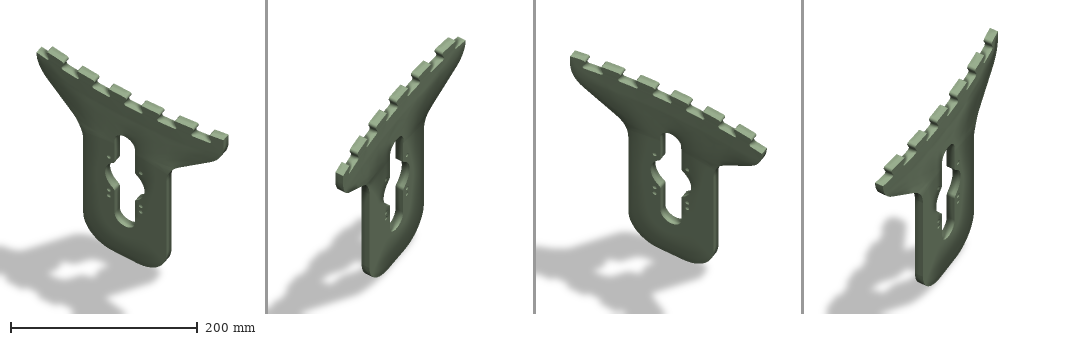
import cadquery as cq
import math

width = 241.3
height = 260.4
depth = 19.8
thickness = 10.0
cutter_length = 3 * depth
tolerance = 0.3

stem_width = 107.3
corner_radius = 38.0
fold_z = 177.8
shoulder_slope = 0.75
crease_z = fold_z + shoulder_slope * (width - stem_width) / 2

head_setback = 0.8
head_rise = depth - thickness - head_setback
fold_radius = 83.3
crease_band = 1.0
sheet_margin = 1.2

tooth_pitch = 42.0
tooth_height = 12.8
tooth_radius = 2.5
flank_angle = 25.0
tooth_lean = tooth_height / 2 * math.tan(math.radians(flank_angle))
first_tooth_x = -94.2
tooth_count = 6
tooth_root_z = height - tooth_height

opening_z = 123.7
slot_length = 146.3
slot_width = 26.0
bore_diameter = 51.0
bore_corner_radius = 5.0
hole_diameter = 5.0
hole_x = 20.5
hole_offset = 27.0
extra_hole_offset = 36.5
hole_heights = [opening_z - extra_hole_offset, opening_z - hole_offset, opening_z + hole_offset]


def front_plane(z=0):
    """Upright workplane behind the part; extruding cutter_length from it passes all the way through."""
    return cq.Workplane("XZ", origin=(0, 2 * depth, z))


def edges_between(half_x, low_z, high_z):
    """Selector for edges within half_x of the middle and between two heights."""
    return cq.selectors.BoxSelector((-half_x, -cutter_length, low_z), (half_x, cutter_length, high_z))


def sheet_section(z, half_width, setback, rise):
    """Closed section of the sheet at height z, bowed back by rise at half_width."""
    side_x = half_width * sheet_margin
    section = cq.Workplane("XY", origin=(0, setback, z))
    if rise == 0:
        section = section.moveTo(-side_x, 0).lineTo(side_x, 0)
        return section.lineTo(side_x, thickness).lineTo(-side_x, thickness).close().val()
    bow_radius = (half_width**2 + rise**2) / (2 * rise)
    side_y = bow_radius - math.sqrt(bow_radius**2 - side_x**2)
    section = section.moveTo(-side_x, side_y).threePointArc((0, 0), (side_x, side_y))
    section = section.lineTo(side_x, side_y + thickness)
    section = section.threePointArc((0, thickness), (-side_x, side_y + thickness))
    return section.close().val()


def transition_section(share):
    """Section of the widening transition, a given share of the way from fold to crease."""
    return sheet_section(
        fold_z + share * (crease_z - fold_z),
        (stem_width + share * (width - stem_width)) / 2,
        share * head_setback,
        share * head_rise,
    )


def make_sheet():
    """Flat stem, ruled transition and bowed head, with a rounded fold and a beveled crease."""
    sections = [
        sheet_section(0, stem_width / 2, 0, 0),
        transition_section(0),
        transition_section(1 - crease_band / (crease_z - fold_z)),
        sheet_section(crease_z + crease_band, width / 2, head_setback, head_rise),
        sheet_section(height, width / 2, head_setback, head_rise),
    ]
    pieces = [cq.Solid.makeLoft([lower, upper], True) for lower, upper in zip(sections, sections[1:])]
    sheet = cq.Workplane(pieces[0].fuse(*pieces[1:]))
    fold_edges = edges_between(tolerance, fold_z - tolerance, fold_z + tolerance)
    return sheet.edges(fold_edges).fillet(fold_radius)


def tooth_flank(x, lean):
    """Root and tip of a tooth flank whose middle is at x."""
    return [(x - lean, tooth_root_z), (x + lean, height)]


def outline_points():
    """Sharp-cornered front outline, clockwise from the top right; the last tooth is cut off by the side."""
    half_stem = stem_width / 2
    half_head = width / 2
    points = [
        (half_head, height),
        (half_head, crease_z),
        (half_stem, fold_z),
        (half_stem, 0),
        (-half_stem, 0),
        (-half_stem, fold_z),
        (-half_head, crease_z),
        (-half_head, tooth_root_z),
    ]
    for index in range(tooth_count):
        tooth_x = first_tooth_x + index * tooth_pitch
        points += tooth_flank(tooth_x - tooth_pitch / 4, -tooth_lean)
        if index < tooth_count - 1:
            points += reversed(tooth_flank(tooth_x + tooth_pitch / 4, tooth_lean))
    return points


def make_blank():
    """The outline with rounded corners, as a block through the full depth."""
    blank = front_plane().polyline(outline_points()).close().extrude(cutter_length)
    tooth_edges = edges_between(width / 2 - tolerance, tooth_root_z - tolerance, height + tolerance)
    plate_edges = edges_between(width, -tolerance, crease_z + tolerance)
    blank = blank.edges("|Y").edges(tooth_edges).fillet(tooth_radius)
    return blank.edges("|Y").edges(plate_edges).fillet(corner_radius)


def make_keyhole():
    """Upright slot with a round bore at its middle; the corners where they meet are rounded."""
    slot = front_plane(opening_z).slot2D(slot_length, slot_width, 90).extrude(cutter_length)
    bore = front_plane(opening_z).circle(bore_diameter / 2).extrude(cutter_length)
    corner_edges = edges_between(
        slot_width / 2 + tolerance, opening_z - bore_diameter / 2, opening_z + bore_diameter / 2)
    return slot.union(bore).edges("|Y").edges(corner_edges).fillet(bore_corner_radius)


def make_screw_holes():
    centers = [(side * hole_x, z) for z in hole_heights for side in (-1, 1)]
    return front_plane().pushPoints(centers).circle(hole_diameter / 2).extrude(cutter_length)


result = make_sheet().intersect(make_blank()).cut(make_keyhole()).cut(make_screw_holes())